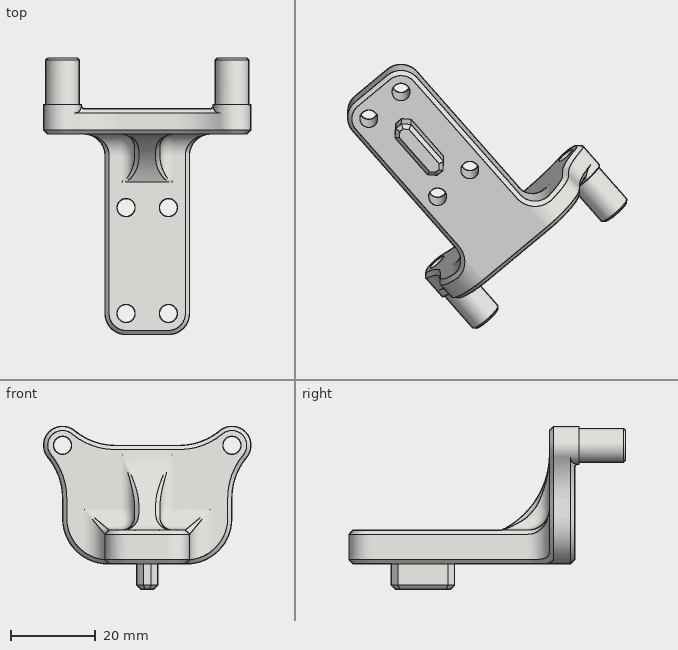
import cadquery as cq
import math


plate_thickness = 6.0
plate_half_width = 20.0
plate_top = 28.0
lower_corner_radius = 10.8
ear_blend_radius = 15.0
edge_chamfer = 1.0

ear_x = 20.0
ear_z = plate_top
ear_radius = 4.5
ear_depth = 7.0
ear_root_chamfer = 0.5
pin_radius = 4.0
pin_end = 18.0
pin_chamfer = 0.5
hole_diameter = 4.2
ear_centres = [(-ear_x, ear_z), (ear_x, ear_z)]

arm_end = 47.35
arm_half_width = 10.0
arm_thickness = 8.0
arm_corner_radius = 5.0
arm_root_radius = 5.0
arm_hole_x = 5.0
arm_hole_inset = 5.0
arm_hole_pitch = 25.0

rib_half_width = 3.0
rib_root_radius = 3.0
rib_top = 26.0
rib_arc_radius = 20.0

key_width = 5.0
key_length = 15.0
key_height = 6.0
key_corner_chamfer = 1.6
key_tip_chamfer = 1.0

taper_end = math.radians(88)
taper_steps = 8
cutter_margin = 0.2
cutter_reach = 2.5

overlap = 3.0

diagonal = math.sqrt(0.5)


def plate_outline():
    """Closed XZ outline of the plate with its two ears."""
    centre_distance = ear_radius + ear_blend_radius
    blend_offset = math.sqrt(centre_distance**2 - ear_blend_radius**2)
    ear_share = ear_radius / centre_distance

    top_x = ear_x - blend_offset
    top_touch = (ear_x - blend_offset * ear_share, ear_z + ear_blend_radius * ear_share)
    side_z = ear_z - blend_offset
    side_touch = (ear_x + ear_blend_radius * ear_share, ear_z - blend_offset * ear_share)
    ear_outer = (ear_x + ear_radius * diagonal, ear_z + ear_radius * diagonal)

    corner_run = plate_half_width - arm_half_width
    corner_z = math.sqrt(lower_corner_radius**2 - (lower_corner_radius - corner_run) ** 2)

    def mirrored(point):
        return (-point[0], point[1])

    return (
        cq.Workplane("XZ")
        .moveTo(-arm_half_width, 0)
        .lineTo(arm_half_width, 0)
        .radiusArc((plate_half_width, corner_z), -lower_corner_radius)
        .lineTo(plate_half_width, side_z)
        .radiusArc(side_touch, ear_blend_radius)
        .threePointArc(ear_outer, top_touch)
        .radiusArc((top_x, plate_top), ear_blend_radius)
        .lineTo(-top_x, plate_top)
        .radiusArc(mirrored(top_touch), ear_blend_radius)
        .threePointArc(mirrored(ear_outer), mirrored(side_touch))
        .radiusArc((-plate_half_width, side_z), ear_blend_radius)
        .lineTo(-plate_half_width, corner_z)
        .radiusArc((-arm_half_width, 0), -lower_corner_radius)
        .close()
    )


def spread(start, end):
    """Evenly spaced values from start to end."""
    return [start + (end - start) * step / taper_steps for step in range(taper_steps + 1)]


def taper_cutter(sections):
    """Wedge that cuts a chamfer between the contact curves of a ball rolling inside an edge.

    Each section holds the ball centre and its contact points on the two faces.
    """
    rails = [[], [], []]
    for section in sections:
        centre, first, second = [cq.Vector(*point) for point in section]
        margin = (first - second) * cutter_margin
        middle = (first + second) * 0.5
        rails[0].append(first + margin)
        rails[1].append(second - margin)
        rails[2].append(centre + (middle - centre) * cutter_reach)
    curves = [cq.Edge.makeSpline(rail) for rail in rails]
    faces = [cq.Face.makeRuledSurface(curves[i - 1], curves[i]) for i in range(3)]
    for end in (0, -1):
        cap = cq.Wire.makePolygon([rail[end] for rail in rails], close=True)
        faces.append(cq.Face.makeFromWires(cap))
    return cq.Workplane(cq.Solid.makeSolid(cq.Shell.makeShell(faces)))


def arm_bar():
    """Straight part of the arm, chamfered along its top rim."""
    bar_length = arm_end - arm_root_radius
    bar = (
        cq.Workplane("XY", origin=(0, -arm_root_radius - bar_length / 2, 0))
        .rect(2 * arm_half_width, bar_length)
        .extrude(arm_thickness)
        .edges("|Z and <Y")
        .fillet(arm_corner_radius)
    )
    return bar.edges(cq.NearestToPointSelector((0, -arm_end, arm_thickness))).chamfer(edge_chamfer)


def arm_root_sections(side):
    """Ball positions along the upper edge of the flared arm root."""
    root_x = arm_half_width + arm_root_radius
    root_z = arm_thickness + arm_root_radius
    ball_path_radius = arm_root_radius + edge_chamfer
    sections = []
    for angle in spread(0, taper_end):
        near = arm_root_radius * math.cos(angle)
        far = ball_path_radius * math.cos(angle)
        face_y = arm_root_radius * (math.sin(angle) - 1)
        ball_y = ball_path_radius * math.sin(angle) - arm_root_radius
        sections.append((
            (side * (root_x - far), ball_y, root_z - far),
            (side * (root_x - far), face_y, root_z - near),
            (side * (root_x - near), face_y, root_z - far),
        ))
    return sections


def arm_root():
    """Root of the arm, flaring sideways and upwards into the plate inside the plate outline."""
    root_x = arm_half_width + arm_root_radius
    root_z = arm_thickness + arm_root_radius
    plan = (
        cq.Workplane("XY")
        .moveTo(-root_x, overlap)
        .lineTo(root_x, overlap)
        .lineTo(root_x, 0)
        .radiusArc((arm_half_width, -arm_root_radius), -arm_root_radius)
        .lineTo(-arm_half_width, -arm_root_radius)
        .radiusArc((-root_x, 0), -arm_root_radius)
        .close()
        .extrude(root_z)
    )
    side_profile = (
        cq.Workplane("YZ")
        .moveTo(overlap, 0)
        .lineTo(overlap, root_z)
        .lineTo(0, root_z)
        .radiusArc((-arm_root_radius, arm_thickness), arm_root_radius)
        .lineTo(-arm_root_radius, 0)
        .close()
        .extrude(root_x, both=True)
    )
    outline_prism = plate_outline().extrude(arm_end, both=True)
    root = plan.intersect(side_profile).intersect(outline_prism)
    for side in (-1, 1):
        root = root.cut(taper_cutter(arm_root_sections(side)))
    return root


def chamfered_plate(depth, chamfer):
    """Plate from its front face to the given depth, chamfered around its back."""
    return plate_outline().extrude(-depth).faces(">Y").edges().chamfer(chamfer)


def plate_and_arm():
    """Plate joined to the arm, with all outer edges chamfered."""
    plate = chamfered_plate(plate_thickness, edge_chamfer)
    body = plate.union(arm_root()).union(arm_bar())
    return body.edges(cq.NearestToPointSelector((0, -arm_end, 0))).chamfer(edge_chamfer)


def rib_side_space(side):
    """Open space beside the rib; its rounded edges leave the root fillets of the rib."""
    corner_z = arm_thickness + arm_root_radius
    far_z = rib_top + rib_arc_radius
    far_y = -rib_arc_radius - overlap
    reach = 2 * plate_half_width
    return (
        cq.Workplane("YZ", origin=(side * rib_half_width, 0, 0))
        .moveTo(0, far_z)
        .lineTo(0, corner_z)
        .radiusArc((-arm_root_radius, arm_thickness), arm_root_radius)
        .lineTo(far_y, arm_thickness)
        .lineTo(far_y, far_z)
        .close()
        .extrude(side * reach)
        .edges(cq.NearestToPointSelector((side * rib_half_width, 0, (corner_z + far_z) / 2)))
        .fillet(rib_root_radius)
    )


def rib_edge_stretches(side):
    """Ball positions along one edge of the curved rib face, from its top to its foot."""
    ball_arc_radius = rib_arc_radius + edge_chamfer
    ball_fillet_radius = rib_root_radius + edge_chamfer
    foot_x = rib_half_width + rib_root_radius
    lower_axis_z = arm_thickness + rib_root_radius

    def section(ball, side_contact):
        share = rib_arc_radius / ball_arc_radius
        curved_contact = (
            ball[0],
            (ball[1] + rib_arc_radius) * share - rib_arc_radius,
            (ball[2] - rib_top) * share + rib_top,
        )
        points = (ball, curved_contact, side_contact)
        return [(side * x, y, z) for x, y, z in points]

    def ball_z(y):
        return rib_top - math.sqrt(ball_arc_radius**2 - (y + rib_arc_radius) ** 2)

    def ball_y(z):
        return math.sqrt(ball_arc_radius**2 - (rib_top - z) ** 2) - rib_arc_radius

    def beside_plate_fillet(angle):
        y = ball_fillet_radius * math.sin(angle) - rib_root_radius
        z = ball_z(y)
        contact_y = rib_root_radius * (math.sin(angle) - 1)
        return section(
            (foot_x - ball_fillet_radius * math.cos(angle), y, z),
            (foot_x - rib_root_radius * math.cos(angle), contact_y, z),
        )

    def beside_flat(z):
        y = ball_y(z)
        return section((rib_half_width - edge_chamfer, y, z), (rib_half_width, y, z))

    def beside_arm_fillet(angle):
        z = lower_axis_z - ball_fillet_radius * math.sin(angle)
        y = ball_y(z)
        contact_z = lower_axis_z - rib_root_radius * math.sin(angle)
        return section(
            (foot_x - ball_fillet_radius * math.cos(angle), y, z),
            (foot_x - rib_root_radius * math.cos(angle), y, contact_z),
        )

    return (
        [beside_plate_fillet(angle) for angle in spread(taper_end, 0)],
        [beside_flat(z) for z in spread(ball_z(-rib_root_radius), lower_axis_z)],
        [beside_arm_fillet(angle) for angle in spread(0, taper_end)],
    )


def rib():
    """Curved gusset rib, waisted by its root fillets and chamfered along its curved face."""
    foot_half_width = rib_half_width + rib_root_radius
    foot_drop = rib_top - arm_thickness
    foot_y = math.sqrt(rib_arc_radius**2 - foot_drop**2) - rib_arc_radius
    body = (
        cq.Workplane("YZ")
        .moveTo(overlap, rib_top)
        .lineTo(0, rib_top)
        .radiusArc((foot_y, arm_thickness), rib_arc_radius)
        .lineTo(foot_y, arm_thickness - overlap)
        .lineTo(overlap, arm_thickness - overlap)
        .close()
        .extrude(foot_half_width, both=True)
    )
    for side in (-1, 1):
        body = body.cut(rib_side_space(side))
        for stretch in rib_edge_stretches(side):
            body = body.cut(taper_cutter(stretch))
    return body


def ear_bosses(body):
    """Add the ear bosses standing proud of the plate back, with chamfered roots."""
    root_top = plate_thickness + ear_root_chamfer
    root_limit = chamfered_plate(root_top, edge_chamfer + ear_root_chamfer)
    for x, z in ear_centres:
        boss = (
            cq.Workplane("XZ", origin=(x, edge_chamfer, z))
            .circle(ear_radius)
            .extrude(edge_chamfer - ear_depth)
        )
        root = cq.Workplane(cq.Solid.makeCone(
            ear_radius + 2 * ear_root_chamfer,
            ear_radius,
            2 * ear_root_chamfer,
            pnt=cq.Vector(x, plate_thickness - ear_root_chamfer, z),
            dir=cq.Vector(0, 1, 0),
        ))
        body = body.union(boss).union(root.intersect(root_limit))
    return body


def pins():
    """Pins standing on the ears, chamfered at their ends."""
    return (
        cq.Workplane("XZ", origin=(0, ear_depth - overlap, 0))
        .pushPoints(ear_centres)
        .circle(pin_radius)
        .extrude(ear_depth - overlap - pin_end)
        .faces(">Y")
        .edges()
        .chamfer(pin_chamfer)
    )


def key():
    """Chamfered key under the arm, midway between the two rows of arm holes."""
    key_y = -arm_end + arm_hole_inset + arm_hole_pitch / 2
    return (
        cq.Workplane("XY", origin=(0, key_y, overlap))
        .rect(key_width, key_length)
        .extrude(-key_height - overlap)
        .edges("|Z")
        .chamfer(key_corner_chamfer)
        .faces("<Z")
        .edges()
        .chamfer(key_tip_chamfer)
    )


def holes():
    """Through holes of the ears and of the arm."""
    ear_holes = (
        cq.Workplane("XZ", origin=(0, -overlap, 0))
        .pushPoints(ear_centres)
        .circle(hole_diameter / 2)
        .extrude(-pin_end - 2 * overlap)
    )
    outer_row_y = -arm_end + arm_hole_inset
    arm_holes = (
        cq.Workplane("XY", origin=(0, 0, -overlap))
        .pushPoints([
            (x, y)
            for x in (-arm_hole_x, arm_hole_x)
            for y in (outer_row_y, outer_row_y + arm_hole_pitch)
        ])
        .circle(hole_diameter / 2)
        .extrude(arm_thickness + 2 * overlap)
    )
    return ear_holes.union(arm_holes)


result = ear_bosses(plate_and_arm()).union(rib()).union(pins()).union(key()).cut(holes())